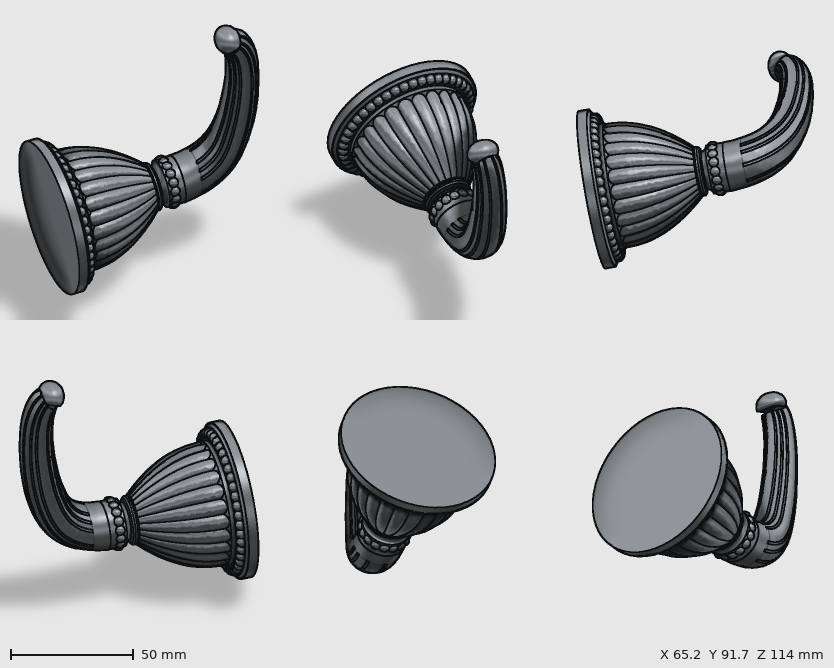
import cadquery as cq
import math


overall_height = 114.0

flange_radius = 32.6
flange_thickness = 4.1
step_foot_radius = 32.2
step_radius = 30.9
step_top = 5.2
rim_bead_count = 45
rim_bead_radius = 2.3
rim_bead_circle = 28.4
rim_bead_plane = 5.9
rim_top = 7.5

bell_foot_radius = 25.9
bell_foot = 9.5
flare_radius = 24.1
flare_top = 11.9
flare_hollow = 0.1
bell_top = 43.8
bell_crest_foot = 25.7
bell_crest_top = 10.5
bell_bulge = 4.1
lobe_count = 24
groove_ratio = 0.945
bell_section_count = 7

collar_root = bell_top - 1.1
lower_collar_groove_radius = 9.6
lower_collar_radius = 10.2
lower_collar_foot = 44.4
lower_collar_top = 46.2
lower_collar_chamfer = 0.8
neck_radius = 5.5
neck_top = 46.8
cove_foot_radius = 7.9
cove_middle_radius = 8.4
cove_middle_y = 48.1
upper_collar_radius = 10.0
cove_top = 49.0
collar_bead_count = 16
collar_bead_radius = 2.3
collar_bead_circle = 8.9
collar_bead_plane = 51.8
arm_start = 56.1

arm_stations = [
    (arm_start, 0.0, 0, 10.2),
    (59.8, 0.5, 0, 10.0),
    (63.4, 1.5, 0, 10.0),
    (68.3, 3.6, 11, 9.8),
    (73.5, 7.9, 25, 9.5),
    (77.5, 14.0, 41, 8.9),
    (80.2, 20.9, 58, 8.2),
    (82.1, 28.2, 73, 7.8),
    (83.7, 37.9, 82, 7.4),
    (84.7, 49.0, 88, 7.0),
    (84.7, 59.3, 94, 6.6),
    (83.7, 67.3, 103, 6.3),
    (81.9, 72.4, 120, 5.9),
    (79.4, 75.5, 137, 4.9),
]
flute_start = 2
flank_flutes = [21, 42, 62, 106, 127, 158]
inner_side = 270
flute_angles = [inner_side + angle for angle in flank_flutes]
flute_angles += [inner_side + 360 - angle for angle in reversed(flank_flutes)]
flute_half_angle = 3.5
flute_depth = 0.6

ball_y = 78.5
ball_radius = 5.2
ball_half_width = 6.6
ball_z = overall_height - flange_radius - ball_radius


def polar(radius, degrees):
    angle = math.radians(degrees)
    return radius * math.cos(angle), radius * math.sin(angle)


def revolve_about_y(profile):
    return profile.close().revolve(360, (0, 0, 0), (0, 1, 0))


def make_foot():
    """Flange, stepped rim and the flare on which the bell lobes end."""
    flare_middle_radius = (bell_foot_radius + flare_radius) / 2 - flare_hollow
    flare_middle = (flare_middle_radius, (bell_foot + flare_top) / 2)
    profile = (
        cq.Workplane("XY")
        .lineTo(flange_radius, 0)
        .lineTo(flange_radius, flange_thickness)
        .lineTo(step_foot_radius, flange_thickness)
        .lineTo(step_radius, step_top)
        .lineTo(rim_bead_circle, step_top)
        .lineTo(rim_bead_circle, rim_top)
        .lineTo(bell_foot_radius, rim_top)
        .lineTo(bell_foot_radius, bell_foot)
        .threePointArc(flare_middle, (flare_radius, flare_top))
        .lineTo(0, flare_top)
    )
    return revolve_about_y(profile)


def make_collars():
    """Grooved collar on the bell, thin neck, and the coved collar that carries the beads."""
    cove_middle = (cove_middle_radius, cove_middle_y)
    profile = (
        cq.Workplane("XY")
        .moveTo(0, collar_root)
        .lineTo(lower_collar_groove_radius, collar_root)
        .lineTo(lower_collar_groove_radius, lower_collar_foot)
        .lineTo(lower_collar_radius, lower_collar_foot)
        .lineTo(lower_collar_radius, lower_collar_top - lower_collar_chamfer)
        .lineTo(lower_collar_radius - lower_collar_chamfer, lower_collar_top)
        .lineTo(neck_radius, lower_collar_top)
        .lineTo(neck_radius, neck_top)
        .lineTo(cove_foot_radius, neck_top)
        .threePointArc(cove_middle, (upper_collar_radius, cove_top))
        .lineTo(upper_collar_radius, arm_start)
        .lineTo(0, arm_start)
    )
    return revolve_about_y(profile)


def make_ball_bead(radius):
    """Ball with its poles along Y."""
    return cq.Solid.makeSphere(radius, dir=cq.Vector(0, 1, 0), angleDegrees1=-90)


def make_rim_bead():
    """Ball that keeps its full width down to the flange step."""
    skirt = cq.Solid.makeCylinder(
        rim_bead_radius, rim_bead_plane - step_top, dir=cq.Vector(0, -1, 0)
    )
    return make_ball_bead(rim_bead_radius).fuse(skirt)


def ring_of_beads(bead, count, circle_radius, plane_y):
    """Overlapping copies of a bead around the rosette axis."""
    beads = []
    for index in range(count):
        x, z = polar(circle_radius, 360 * index / count)
        beads.append(bead.moved(cq.Location(cq.Vector(x, plane_y, z))))
    return beads


def bell_crest_radius(y):
    """Radius of the bell crests: a straight taper with a parabolic bulge."""
    t = (y - bell_foot) / (bell_top - bell_foot)
    straight = bell_crest_foot + (bell_crest_top - bell_crest_foot) * t
    return straight + 4 * bell_bulge * t * (1 - t)


def bell_section(y):
    """Closed wire of convex lobes at height y."""
    crest = bell_crest_radius(y)
    groove = crest * groove_ratio
    pitch = 360 / lobe_count
    edges = []
    for index in range(lobe_count):
        ends_and_crest = [
            polar(groove, index * pitch),
            polar(crest, (index + 0.5) * pitch),
            polar(groove, (index + 1) * pitch),
        ]
        edges.append(cq.Edge.makeThreePointArc(*[cq.Vector(x, y, z) for x, z in ends_and_crest]))
    return cq.Wire.assembleEdges(edges)


def make_bell():
    step = (bell_top - bell_foot) / (bell_section_count - 1)
    sections = [bell_section(bell_foot + index * step) for index in range(bell_section_count)]
    return cq.Solid.makeLoft(sections)


def arm_plane(y, z, lean):
    """Plane of an arm section; its local X is the part's X."""
    along_y, along_z = polar(1, lean)
    return cq.Plane((0, y, z), (1, 0, 0), (0, along_y, along_z))


def plain_section(plane, radius):
    return cq.Wire.makeCircle(radius, plane.origin, plane.zDir)


def fluted_section(plane, radius):
    """Circle of the given radius with a shallow round notch at every flute angle."""
    def point(distance, degrees):
        return plane.toWorldCoords(polar(distance, degrees))

    edges = []
    for index, angle in enumerate(flute_angles):
        following = flute_angles[(index + 1) % len(flute_angles)]
        notch_start = angle - flute_half_angle
        notch_end = angle + flute_half_angle
        land_end = notch_end + (following - angle) % 360 - 2 * flute_half_angle
        edges.append(cq.Edge.makeThreePointArc(
            point(radius, notch_start), point(radius - flute_depth, angle), point(radius, notch_end)
        ))
        edges.append(cq.Edge.makeThreePointArc(
            point(radius, notch_end), point(radius, (notch_end + land_end) / 2), point(radius, land_end)
        ))
    return cq.Wire.assembleEdges(edges)


def make_arm():
    """Plain root followed by the fluted, tapering hook."""
    sections = [(arm_plane(y, z, lean), radius) for y, z, lean, radius in arm_stations]
    root = cq.Solid.makeLoft([plain_section(*section) for section in sections[: flute_start + 1]])
    hook = cq.Solid.makeLoft([fluted_section(*section) for section in sections[flute_start:]])
    return root, hook


def make_ball():
    """Ellipsoid of revolution about X, longer across the arm than it is tall."""
    half_outline = (
        cq.Workplane("XY")
        .moveTo(ball_half_width, 0)
        .ellipseArc(ball_half_width, ball_radius, 0, 180)
        .close()
    )
    return half_outline.revolve(360, (0, 0, 0), (1, 0, 0)).translate((0, ball_y, ball_z))


root, hook = make_arm()
parts = [make_foot().val(), make_collars().val(), root, hook, make_ball().val()]
parts += ring_of_beads(make_rim_bead(), rim_bead_count, rim_bead_circle, rim_bead_plane)
parts += ring_of_beads(
    make_ball_bead(collar_bead_radius), collar_bead_count, collar_bead_circle, collar_bead_plane
)

result = cq.Workplane(make_bell().fuse(*parts))